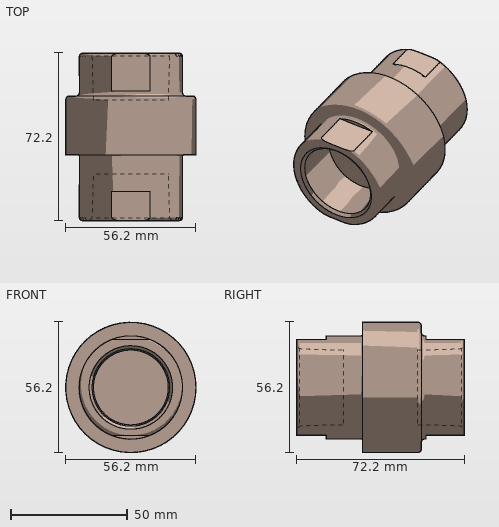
import cadquery as cq

length = 72.2
half_length = length / 2
flange_radius = 28.1
neck_radius = 22.2
flange_front = -7.7
flange_back = 17.6
rim_round = 1.5
front_root_round = 0.5
back_root_round = 1.5

flat_height = 20.65
front_flat_length = 12.7
back_flat_length = 16.4

socket_mouth_radius = 18.0
socket_radius = 16.7
socket_floor_radius = 16.1
socket_chamfer = socket_mouth_radius - socket_radius
socket_depth = 20.2


def make_body():
    """Revolve the stepped outer profile; local x is radius, local y is axial."""
    profile = (
        cq.Workplane("XY")
        .moveTo(0, -half_length)
        .lineTo(neck_radius - rim_round, -half_length)
        .radiusArc((neck_radius, rim_round - half_length), -rim_round)
        .lineTo(neck_radius, flange_front - front_root_round)
        .radiusArc((neck_radius + front_root_round, flange_front), front_root_round)
        .lineTo(flange_radius, flange_front)
        .lineTo(flange_radius, flange_back - rim_round)
        .radiusArc((flange_radius - rim_round, flange_back), -rim_round)
        .lineTo(neck_radius + back_root_round, flange_back)
        .radiusArc((neck_radius, flange_back + back_root_round), back_root_round)
        .lineTo(neck_radius, half_length - rim_round)
        .radiusArc((neck_radius - rim_round, half_length), -rim_round)
        .lineTo(0, half_length)
        .close()
    )
    return profile.revolve(360, (0, 0, 0), (0, 1, 0))


def make_flat_cutter(end, flat_length, side):
    """Block that trims one flat; end and side are -1 or 1 along Y and Z."""
    block_height = 2 * (neck_radius - flat_height)
    return cq.Workplane("XY").box(2 * neck_radius, flat_length, block_height).translate(
        (0, end * (half_length - flat_length / 2), side * (flat_height + block_height / 2))
    )


def make_socket(end):
    """Chamfered, tapered socket opening at the given end."""
    mouth = end * half_length
    return (
        cq.Workplane("XY")
        .moveTo(0, mouth)
        .lineTo(socket_mouth_radius, mouth)
        .lineTo(socket_radius, mouth - end * socket_chamfer)
        .lineTo(socket_floor_radius, mouth - end * socket_depth)
        .lineTo(0, mouth - end * socket_depth)
        .close()
        .revolve(360, (0, 0, 0), (0, 1, 0))
    )


result = make_body()
for end, flat_length in ((-1, front_flat_length), (1, back_flat_length)):
    for side in (-1, 1):
        result = result.cut(make_flat_cutter(end, flat_length, side))
    result = result.cut(make_socket(end))